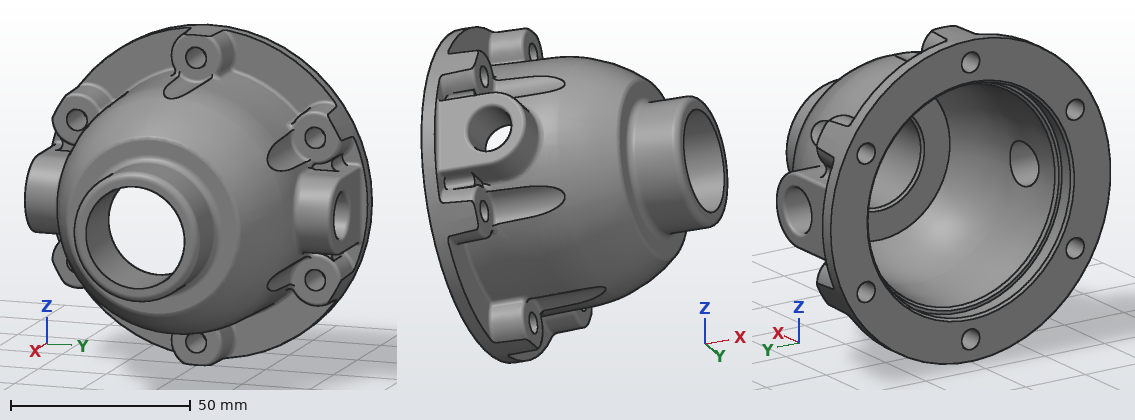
import cadquery as cq
import math

flange_radius = 47.0
flange_thickness = 4.0

draft = math.radians(2.0)
skirt_base_radius = 36.0
skirt_length = 25.3
dome_arc_radius = 41.0
wall_thickness = 4.3
shoulder_x = 50.5
floor_thickness = 5.0
shoulder_rounding = 1.5

overall_length = 65.5
neck_radius = 18.5
neck_rounding = 2.0
neck_bore_radius = 14.5
neck_bore_chamfer = 0.75

register_radius = 34.0
register_depth = 5.0
register_chamfer = 0.75
step_inner_radius = 33.0
step_chamfer = 0.8

bolt_count = 6
bolt_pitch_deg = 360 / bolt_count
bolt_circle_radius = 40.5
bolt_hole_radius = 3.0
lug_base_radius = 8.0
lug_end_x = 14.0
lug_rounding = 1.0
clearance_radius = 7.1

port_x = 19.5
port_half_width = 11.0
port_face_y = 45.0
port_hole_radius = 6.5
port_rounding = 1.0

wall_fillet = 1.5
bridge_fillet = 2.0
bridge_overlap = 1.0
flange_fillet = 1.0
seat_fillet = 1.0

tolerance = 0.05
shortest_seam = 0.1

skirt_end_radius = skirt_base_radius - skirt_length * math.tan(draft)
dome_centre_x = skirt_length - dome_arc_radius * math.sin(draft)
dome_centre_r = skirt_end_radius - dome_arc_radius * math.cos(draft)
draft_angle_deg = math.degrees(draft)


def skirt_radius(x):
    """Outer radius of the drafted skirt at station x."""
    return skirt_base_radius - x * math.tan(draft)


def dome_point(arc_radius, angle):
    """Point on a dome arc, at an angle measured from the radial direction."""
    return (
        dome_centre_x + arc_radius * math.sin(angle),
        dome_centre_r + arc_radius * math.cos(angle),
    )


def dome_angle(arc_radius, x):
    """Angle at which a dome arc reaches station x."""
    return math.asin((x - dome_centre_x) / arc_radius)


def revolve_about_x(profile):
    return profile.close().revolve(360, (0, 0, 0), (1, 0, 0))


def ring_edges(shape, x, radius):
    """Circular edges of the given radius at station x."""
    rings = []
    for edge in shape.edges("%CIRCLE").vals():
        if abs(edge.Center().x - x) < tolerance and abs(edge.radius() - radius) < tolerance:
            rings.append(edge)
    return rings


def fillet_edges(shape, radius, edges):
    return cq.Workplane(shape.val().fillet(radius, edges)).solids()


def make_outer_body():
    """Solid flange, skirt, dome and neck."""
    end_angle = dome_angle(dome_arc_radius, shoulder_x)
    profile = (
        cq.Workplane("XY")
        .lineTo(0, flange_radius)
        .lineTo(flange_thickness, flange_radius)
        .lineTo(flange_thickness, skirt_radius(flange_thickness))
        .lineTo(*dome_point(dome_arc_radius, draft))
        .threePointArc(
            dome_point(dome_arc_radius, (draft + end_angle) / 2),
            dome_point(dome_arc_radius, end_angle),
        )
        .lineTo(shoulder_x, neck_radius)
        .lineTo(overall_length, neck_radius)
        .lineTo(overall_length, 0)
    )
    body = revolve_about_x(profile)
    shoulder_edge_r = dome_point(dome_arc_radius, end_angle)[1]
    roundings = (
        (shoulder_x, shoulder_edge_r, shoulder_rounding),
        (shoulder_x, neck_radius, neck_rounding),
        (overall_length, neck_radius, neck_rounding),
    )
    for x, ring_radius, rounding in roundings:
        body = fillet_edges(body, rounding, ring_edges(body, x, ring_radius))
    return body


def make_cavity():
    """Register recess, dome interior and neck bore as one solid to remove."""
    inner_arc_radius = dome_arc_radius - wall_thickness
    floor_x = shoulder_x - floor_thickness
    floor_angle = dome_angle(inner_arc_radius, floor_x)
    step_bore_radius = step_inner_radius - step_chamfer
    profile = (
        cq.Workplane("XY")
        .lineTo(0, register_radius + register_chamfer)
        .lineTo(register_chamfer, register_radius)
        .lineTo(register_depth, register_radius)
        .lineTo(register_depth, step_inner_radius)
        .lineTo(register_depth + step_chamfer, step_bore_radius)
        .lineTo(*dome_point(inner_arc_radius, draft))
        .threePointArc(
            dome_point(inner_arc_radius, (draft + floor_angle) / 2),
            dome_point(inner_arc_radius, floor_angle),
        )
        .lineTo(floor_x, neck_bore_radius + neck_bore_chamfer)
        .lineTo(floor_x + neck_bore_chamfer, neck_bore_radius)
        .lineTo(overall_length, neck_bore_radius)
        .lineTo(overall_length, 0)
    )
    return revolve_about_x(profile)


def at_bolts(shape):
    """Copies a shape lying on the X axis to every bolt position."""
    at_top = shape.translate((0, 0, bolt_circle_radius))
    copies = cq.Workplane("YZ")
    for index in range(bolt_count):
        copies = copies.add(at_top.rotate((0, 0, 0), (1, 0, 0), index * bolt_pitch_deg))
    return copies.combine()


def make_lug():
    """Drafted round lug with a rounded rear edge."""
    lug = cq.Workplane("YZ").circle(lug_base_radius).extrude(lug_end_x, taper=draft_angle_deg)
    return lug.faces(">X").edges().fillet(lug_rounding)


def make_lugs():
    rim = cq.Workplane("YZ").circle(flange_radius).extrude(lug_end_x)
    return at_bolts(make_lug()).intersect(rim)


def make_clearance():
    """Screw head clearance behind a lug, rounded at its seat."""
    length = shoulder_x - lug_end_x
    cutter = cq.Workplane("YZ", origin=(lug_end_x, 0, 0)).circle(clearance_radius).extrude(length)
    return cutter.faces("<X").edges().fillet(seat_fillet)


def make_port_bore():
    """Straight bore through both ports."""
    start = cq.Workplane("XZ", origin=(port_x, port_face_y, 0))
    return start.circle(port_hole_radius).extrude(2 * port_face_y)


def make_ports():
    """Round-ended bar across the part whose ends are the two port pads, with rounded bore mouths."""
    pad = (
        cq.Workplane("XZ", origin=(0, port_face_y, 0))
        .moveTo(0, port_half_width)
        .lineTo(port_x, port_half_width)
        .threePointArc((port_x + port_half_width, 0), (port_x, -port_half_width))
        .lineTo(0, -port_half_width)
        .close()
        .extrude(2 * port_face_y)
    )
    pad = pad.cut(make_port_bore())
    return pad.faces("<Y or >Y").edges("not(<X)").fillet(port_rounding)


def edges_where(shape, condition):
    """Edges whose midpoint and X range satisfy the condition."""
    chosen = []
    for edge in shape.edges().vals():
        box = edge.BoundingBox()
        if condition(edge.positionAt(0.5), box.xmin, box.xmax):
            chosen.append(edge)
    return chosen


def fillet_flange_face(shape):
    """Rounds everything that meets the rear face of the flange, except at its rim."""
    def on_flange_face(mid, xmin, xmax):
        flat = abs(xmin - flange_thickness) < tolerance and abs(xmax - flange_thickness) < tolerance
        return flat and math.hypot(mid.y, mid.z) < flange_radius - tolerance
    return fillet_edges(shape, flange_fillet, edges_where(shape, on_flange_face))


def off_bore(mid):
    """True for a point lying clear of the port bore surface."""
    return math.hypot(mid.x - port_x, mid.z) > port_hole_radius + tolerance


def body_with_ports(body):
    """Body carrying the port pads, blended where they meet."""
    def pad_meets_body(mid, xmin, xmax):
        near_pad = abs(mid.z) < port_half_width + tolerance and abs(mid.y) < skirt_base_radius
        behind_flange = xmin > flange_thickness - tolerance and xmax < port_x + port_half_width
        return near_pad and behind_flange and xmax > xmin + shortest_seam and off_bore(mid)
    joined = body.union(make_ports())
    joined = fillet_edges(joined, wall_fillet, edges_where(joined, pad_meets_body))
    return fillet_flange_face(joined)


def body_with_lugs(body):
    """Body carrying the bolt lugs, blended where they meet."""
    def lug_meets_body(mid, xmin, xmax):
        on_skirt = abs(math.hypot(mid.y, mid.z) - skirt_radius(mid.x)) < tolerance
        within_lug = xmin > flange_thickness - tolerance and xmax < lug_end_x + tolerance
        return on_skirt and within_lug and mid.x > flange_thickness + shortest_seam
    joined = body.union(make_lugs())
    joined = fillet_edges(joined, wall_fillet, edges_where(joined, lug_meets_body))
    return fillet_flange_face(joined)


def make_bridge():
    """Metal filling the narrow gap between a port pad and the lug above it."""
    lug_angle = math.radians(90 - bolt_pitch_deg)
    lug_y = bolt_circle_radius * math.cos(lug_angle)
    lug_z = bolt_circle_radius * math.sin(lug_angle)
    lug_radius = lug_base_radius - lug_end_x / 2 * math.tan(draft)
    arc_z = port_half_width + bridge_fillet
    arc_y = lug_y + math.sqrt((lug_radius + bridge_fillet) ** 2 - (lug_z - arc_z) ** 2)
    share = lug_radius / (lug_radius + bridge_fillet)
    touch_y = lug_y + (arc_y - lug_y) * share
    touch_z = lug_z + (arc_z - lug_z) * share
    inner_y = lug_y - lug_radius / 2
    block = (
        cq.Workplane("YZ", origin=(flange_thickness, 0, 0))
        .moveTo(arc_y, port_half_width - bridge_overlap)
        .lineTo(arc_y, arc_z)
        .lineTo(touch_y, touch_z)
        .lineTo(lug_y, lug_z)
        .lineTo(inner_y, port_half_width - bridge_overlap)
        .close()
        .extrude(lug_end_x - lug_rounding - flange_thickness)
    )
    arc = cq.Workplane("YZ").center(arc_y, arc_z).circle(bridge_fillet).extrude(lug_end_x)
    return block.cut(arc)


def add_bridges(shape):
    """Adds a bridge on both flanks of both port pads."""
    upper_pair = make_bridge()
    upper_pair = upper_pair.add(upper_pair.mirror("XZ")).combine()
    return shape.union(upper_pair).union(upper_pair.mirror("XY"))


body = make_outer_body()
casting = add_bridges(body_with_ports(body).union(body_with_lugs(body)))

bolt_hole = cq.Workplane("YZ").circle(bolt_hole_radius).extrude(lug_end_x)
result = (
    casting
    .cut(make_cavity())
    .cut(make_port_bore())
    .cut(at_bolts(make_clearance()))
    .cut(at_bolts(bolt_hole))
    .solids()
)